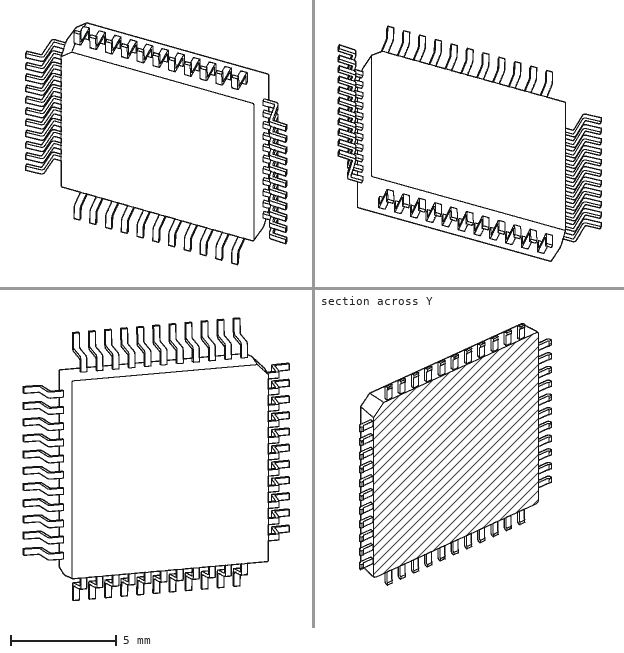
import cadquery as cq
import math

SPAN = 13.2
HEIGHT = 2.25

BODY_SIDE = 10.0
BODY_THICKNESS = 2.0
BAND_THICKNESS = 0.17
DRAFT_ANGLE = 7.0
INDEX_CHAMFER = 0.61
CORNER_RADIUS = 0.18

LEADS_PER_SIDE = 11
LEAD_ROW = 8.0
LEAD_WIDTH = 0.3
LEAD_THICKNESS = 0.16
LEAD_BURIED = 0.26
LEG_ANGLE = 6.0
FOOT_ANGLE = 3.0
KNEE_X = 5.68
INNER_BEND_RADIUS = 0.05
OUTER_BEND_RADIUS = 0.15

FOOT_LEVEL = BODY_THICKNESS / 2 - HEIGHT
TIP_HEIGHT = LEAD_THICKNESS / math.cos(math.radians(FOOT_ANGLE))


def body_outline(y):
    """Square facing -Y with the index corner (-X, +Z) chamfered and the others rounded."""
    outline = (
        cq.Sketch()
        .rect(BODY_SIDE, BODY_SIDE)
        .vertices(">X or <Y")
        .fillet(CORNER_RADIUS)
        .reset()
        .vertices("<X and >Y")
        .chamfer(INDEX_CHAMFER)
    )
    return cq.Workplane("XZ", origin=(0, y, 0)).placeSketch(outline)


def make_body():
    """Straight band with a drafted half on each side of it."""
    half_band = BAND_THICKNESS / 2
    drafted_depth = (BODY_THICKNESS - BAND_THICKNESS) / 2
    band = body_outline(half_band).extrude(BAND_THICKNESS)
    front_half = body_outline(-half_band).extrude(drafted_depth, taper=DRAFT_ANGLE)
    return band.union(front_half).union(front_half.mirror("XZ"))


def leg_corners(side):
    """Knee and heel corners on one side of the lead (+1 outer face, -1 face towards the body)."""
    foot_slope = math.tan(math.radians(FOOT_ANGLE))
    leg_slope = math.tan(math.radians(LEG_ANGLE))
    leg_offset = KNEE_X + side * LEAD_THICKNESS / 2 / math.cos(math.radians(LEG_ANGLE))
    knee_y = side * LEAD_THICKNESS / 2
    tip_y = FOOT_LEVEL + (TIP_HEIGHT if side > 0 else 0)
    heel_y = (tip_y + foot_slope * (SPAN / 2 - leg_offset)) / (1 - foot_slope * leg_slope)
    knee = (leg_offset - leg_slope * knee_y, knee_y)
    heel = (leg_offset - leg_slope * heel_y, heel_y)
    return knee, heel


def round_bend(lead, corner, radius):
    """Fillet the width-wise edge of the lead that passes through a profile corner."""
    edge = cq.selectors.NearestToPointSelector((*corner, 0))
    return lead.edges("|Z").edges(edge).fillet(radius)


def make_lead():
    """Gull-wing strip on the +X side, centred on Z = 0."""
    start_x = BODY_SIDE / 2 - LEAD_BURIED
    outward_knee, outward_heel = leg_corners(1)
    inward_knee, inward_heel = leg_corners(-1)
    profile = [
        (start_x, LEAD_THICKNESS / 2),
        outward_knee,
        outward_heel,
        (SPAN / 2, FOOT_LEVEL + TIP_HEIGHT),
        (SPAN / 2, FOOT_LEVEL),
        inward_heel,
        inward_knee,
        (start_x, -LEAD_THICKNESS / 2),
    ]
    lead = cq.Workplane("XY").polyline(profile).close().extrude(LEAD_WIDTH / 2, both=True)
    for corner in (outward_knee, inward_heel):
        lead = round_bend(lead, corner, OUTER_BEND_RADIUS)
    for corner in (inward_knee, outward_heel):
        lead = round_bend(lead, corner, INNER_BEND_RADIUS)
    return lead


def make_lead_row():
    """Evenly spaced leads along the +X side."""
    pitch = LEAD_ROW / (LEADS_PER_SIDE - 1)
    lead = make_lead()
    row = cq.Workplane()
    for index in range(LEADS_PER_SIDE):
        row = row.add(lead.translate((0, 0, index * pitch - LEAD_ROW / 2)))
    return row.combine()


result = make_body()
lead_row = make_lead_row()
for quarter_turn in range(4):
    result = result.union(lead_row.rotate((0, 0, 0), (0, 1, 0), quarter_turn * 90))